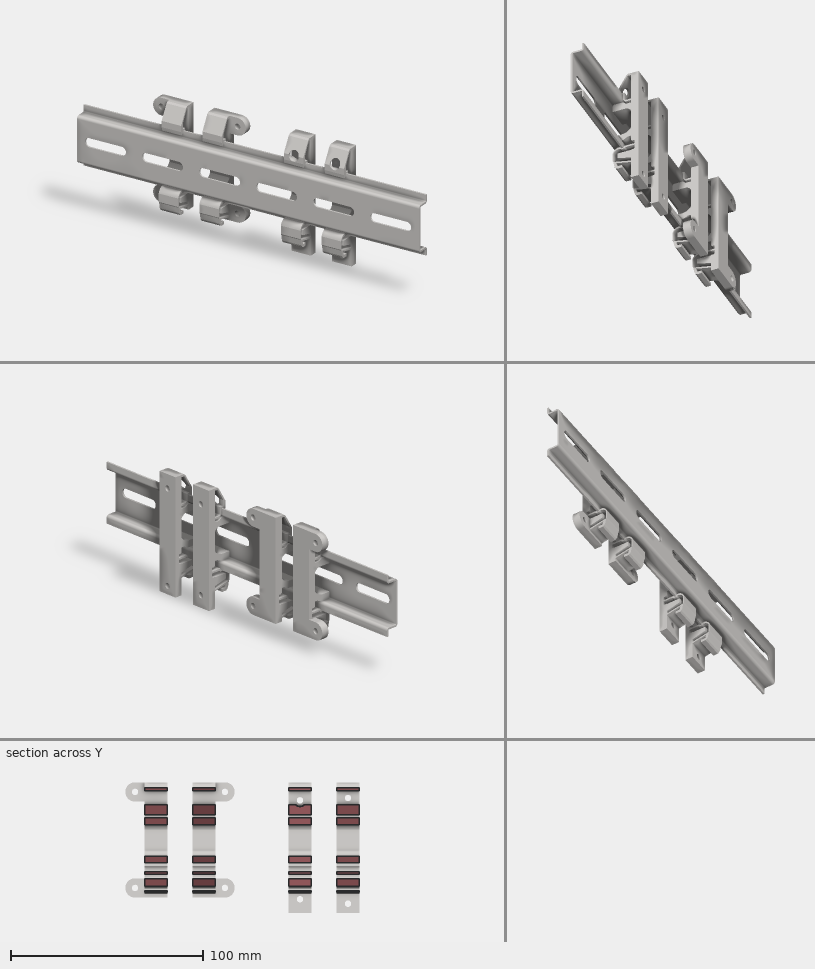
import cadquery as cq

rail_length = 210.0
rail_height = 34.9
rail_depth = 7.5
sheet = 1.0
channel_height = 27.0
bend_inner_radius = 0.6
bend_outer_radius = bend_inner_radius + sheet
slot_count = 6
slot_pitch = rail_length / slot_count
slot_length = 25.0
slot_height = 5.2

rail_top = rail_height / 2
flange_front = rail_depth - sheet
leg_inside = channel_height / 2 - sheet

clip_width = 12.0
clip_pitch = 25.0
plate_back = 16.5
plate_thickness = 4.5
plate_front = plate_back - plate_thickness
plate_top = 30.0
screw_diameter = 3.4

ear_radius = 5.0
ear_offset = 11.0
ear_height = plate_top - ear_radius
eared_plate_bottom = -plate_top

long_plate_bottom = -38.0
access_diameter = 6.0
inner_screw_heights = (20.5, -30.9)
outer_screw_heights = (21.8, -33.2)

arm_front = 4.6
arm_thickness = 1.7
arm_back = arm_front + arm_thickness
arm_roof = 1.3
arm_roof_inner_edge = 10.0
arm_crown_back = 10.5
arm_crown_front = 9.5
arm_crown_drop = 0.8
arm_inner_bend_rise = 0.8
arm_bend_height = 21.0
arm_tip_height = 15.3
arm_tip_setback = 0.5
arm_tip_bevel = 1.0
hook_wall = 0.95
hook_top = rail_top + hook_wall
hook_back = rail_depth + hook_wall
hook_foot_top = 13.5
hook_foot_bottom = 12.4
hook_corner = 0.6
hook_heel = 8.8

lug_front = 1.7
lug_clearance = 0.2
lug_bevel = 0.8
lug_seat = leg_inside - lug_clearance
lug_relief = 11.0
upper_lug_height = 7.8
upper_relief_end = 9.2
upper_root_height = 5.5
upper_root_reach = 3.5
lower_lug_height = 8.5
lower_relief_end = 10.5
lower_root_height = 5.5
lower_root_reach = 5.2

groove_bottom = 14.3
groove_top_height = -14.3
groove_end_height = -20.0
groove_bevel = 0.6
spring_top = -16.4
spring_thickness = 1.0
spring_front = 1.7
spring_inner = 2.3
nose_start = 4.5
nose_mid = (2.7, -17.6)
shoulder_height = -19.5
pocket_wall = 0.6
pocket_back = 8.2
pocket_floor = -rail_top - pocket_wall
pocket_floor_back = 8.5
pocket_floor_end = 9.0
nose_inner_start = 5.7
nose_inner_mid = (3.5, -18.0)
step_height = -24.4
step_drop = 0.6
step_depth = 0.5
finger_top = -28.4
finger_bottom = -30.0
finger_knee = 2.7
finger_edge = (3.4, -29.5)
finger_toe = 4.2
finger_tip = 7.0
finger_inner = 4.5
strut_top = -27.0
strut_front_top = -25.0
strut_front_bottom = (3.8, -26.2)

stop_front = 4.5
stop_top = -20.2
stop_front_bottom = -23.0
stop_root_bottom = -25.2


def prism(points, length, x_center):
    """Extrude a closed (Y, Z) outline along X, centred on x_center."""
    plane = cq.Workplane("YZ", origin=(x_center - length / 2, 0, 0))
    return plane.polyline(points).close().extrude(length)


def block(x_center, length, y_range, z_range):
    """A rectangular block with its Y and Z limits given."""
    (y0, y1), (z0, z1) = y_range, z_range
    return prism([(y0, z0), (y1, z0), (y1, z1), (y0, z1)], length, x_center)


def cylinder_along_y(x, z, diameter, y_start, y_end):
    plane = cq.Workplane("XZ", origin=(x, y_start, z))
    return plane.circle(diameter / 2).extrude(y_start - y_end)


def x_edges_at(y, z):
    """Selector for the pair of X-direction edges at depth y and heights +z and -z."""
    tolerance = 0.02
    reach = rail_length
    near = cq.selectors.BoxSelector
    upper = near((-reach, y - tolerance, z - tolerance), (reach, y + tolerance, z + tolerance))
    lower = near((-reach, y - tolerance, -z - tolerance), (reach, y + tolerance, -z + tolerance))
    return upper + lower


def make_rail():
    channel_half = channel_height / 2
    body = block(0, rail_length, (0, rail_depth), (-channel_half, channel_half))
    flanges = block(0, rail_length, (flange_front, rail_depth), (-rail_top, rail_top))
    hollow = block(0, rail_length, (sheet, rail_depth), (-leg_inside, leg_inside))
    rail = body.union(flanges).cut(hollow)
    bends = (
        (0, channel_half, bend_outer_radius),
        (sheet, leg_inside, bend_inner_radius),
        (flange_front, channel_half, bend_inner_radius),
        (rail_depth, leg_inside, bend_outer_radius),
    )
    for y, z, radius in bends:
        rail = rail.edges(x_edges_at(y, z)).fillet(radius)
    slots = (
        cq.Workplane("XZ")
        .rarray(slot_pitch, 2, slot_count, 1)
        .slot2D(slot_length, slot_height)
        .extrude(-sheet)
    )
    return rail.cut(slots)


def make_upper_arm(x):
    """Sloping arm whose lower end hooks over the upper rail flange."""
    outline = [
        (plate_front, plate_top),
        (arm_crown_back, plate_top),
        (arm_crown_front, plate_top - arm_crown_drop),
        (arm_front, arm_bend_height),
        (arm_front, rail_top),
        (arm_front + arm_tip_setback, arm_tip_height),
        (arm_back, rail_top - arm_tip_bevel),
        (arm_back, rail_top),
        (rail_depth, rail_top),
        (rail_depth, hook_foot_top + hook_corner),
        (hook_heel, hook_foot_bottom),
        (plate_front, hook_foot_bottom),
        (plate_front, hook_foot_top),
        (hook_back + hook_corner, hook_foot_top),
        (hook_back, hook_foot_top + hook_corner),
        (hook_back, hook_top),
        (arm_back, hook_top),
        (arm_back, arm_bend_height + arm_inner_bend_rise),
        (arm_roof_inner_edge, plate_top - arm_roof),
        (plate_front, plate_top - arm_roof),
    ]
    return prism(outline, clip_width, x)


def make_lug(x, side, inner_height, relief_end, root_height, root_reach):
    """Lug against a rail leg; side is +1 for the upper and -1 for the lower lug.

    The face towards the rail centre curves into the plate, ending at root_height.
    """
    outline = [
        (plate_front, side * lug_relief),
        (relief_end, side * lug_relief),
        (rail_depth, side * lug_seat),
        (lug_front + lug_bevel, side * lug_seat),
        (lug_front, side * (lug_seat - lug_bevel)),
        (lug_front, side * inner_height),
    ]
    return (
        cq.Workplane("YZ", origin=(x - clip_width / 2, 0, 0))
        .polyline(outline)
        .lineTo(plate_front - root_reach, side * inner_height)
        .tangentArcPoint((plate_front, side * root_height), relative=False)
        .close()
        .extrude(clip_width)
    )


def make_upper_lug(x):
    return make_lug(x, 1, upper_lug_height, upper_relief_end, upper_root_height, upper_root_reach)


def make_lower_lug(x):
    return make_lug(x, -1, lower_lug_height, lower_relief_end, lower_root_height, lower_root_reach)


def make_spring(x):
    """Looped spring that cups the lower rail flange and ends in a finger pull."""
    spring_bottom = spring_top - spring_thickness
    flange_pocket = [
        (groove_bottom, spring_top),
        (pocket_back, spring_top),
        (rail_depth, -rail_top),
        (flange_front, -rail_top),
        (flange_front, spring_top),
        (nose_start, spring_top),
    ]
    finger_and_strut = [
        (spring_front, shoulder_height),
        (spring_front, step_height),
        (spring_front + step_depth, step_height - step_drop),
        (finger_knee, finger_top),
        finger_edge,
        (finger_toe, finger_bottom),
        (finger_tip, finger_bottom),
        (finger_tip, finger_top),
        (finger_inner, finger_top),
        strut_front_bottom,
        (plate_front, strut_top - spring_thickness),
        (plate_front, strut_top),
        (spring_inner, strut_front_top),
        (spring_inner, shoulder_height),
    ]
    underside = [
        (nose_inner_start, spring_bottom),
        (flange_front, pocket_floor),
        (pocket_floor_back, pocket_floor),
        (pocket_floor_end, spring_bottom),
        (groove_bottom, spring_bottom),
    ]
    return (
        cq.Workplane("YZ", origin=(x - clip_width / 2, 0, 0))
        .polyline(flange_pocket)
        .threePointArc(nose_mid, finger_and_strut[0])
        .polyline(finger_and_strut)
        .threePointArc(nose_inner_mid, underside[0])
        .polyline(underside)
        .close()
        .extrude(clip_width)
    )


def make_stop(x):
    outline = [
        (plate_front, stop_top),
        (stop_front, stop_top),
        (stop_front, stop_front_bottom),
        (plate_front, stop_root_bottom),
    ]
    return prism(outline, clip_width, x)


def make_plate(x, bottom):
    """Back plate with the groove behind the root of the spring."""
    plate = block(x, clip_width, (plate_front, plate_back), (bottom, plate_top))
    groove = prism(
        [
            (plate_front, groove_top_height + groove_bevel),
            (plate_front + groove_bevel, groove_top_height),
            (groove_bottom, groove_top_height),
            (groove_bottom, groove_end_height + groove_bevel),
            (groove_bottom - groove_bevel, groove_end_height),
            (plate_front, groove_end_height),
        ],
        clip_width,
        x,
    )
    return plate.cut(groove)


def make_clip_body(x, bottom):
    body = make_plate(x, bottom)
    for part in (make_upper_arm, make_upper_lug, make_lower_lug, make_spring, make_stop):
        body = body.union(part(x))
    return body


def make_eared_clip(x, side):
    """Clip with two screw ears; side is -1 or +1 for the X direction of the ears."""
    clip = make_clip_body(x, eared_plate_bottom)
    ear_x = x + side * ear_offset
    for z in (ear_height, -ear_height):
        tongue = block(
            (x + ear_x) / 2, ear_offset, (plate_front, plate_back), (z - ear_radius, z + ear_radius)
        )
        tip = cylinder_along_y(ear_x, z, 2 * ear_radius, plate_front, plate_back)
        hole = cylinder_along_y(ear_x, z, screw_diameter, plate_front, plate_back)
        clip = clip.union(tongue).union(tip).cut(hole)
    return clip


def make_screw_clip(x, screw_heights):
    """Clip screwed through its plate, with an access hole in the upper arm."""
    clip = make_clip_body(x, long_plate_bottom)
    for z in screw_heights:
        clip = clip.cut(cylinder_along_y(x, z, screw_diameter, plate_front, plate_back))
    return clip.cut(cylinder_along_y(x, screw_heights[0], access_diameter, 0, plate_front))


rail = make_rail()
eared_clips = [
    make_eared_clip(-2 * clip_pitch, -1),
    make_eared_clip(-clip_pitch, 1),
]
screw_clips = [
    make_screw_clip(clip_pitch, inner_screw_heights),
    make_screw_clip(2 * clip_pitch, outer_screw_heights),
]
clips = eared_clips + screw_clips

result = cq.Compound.makeCompound([rail.val(), *[clip.val() for clip in clips]])